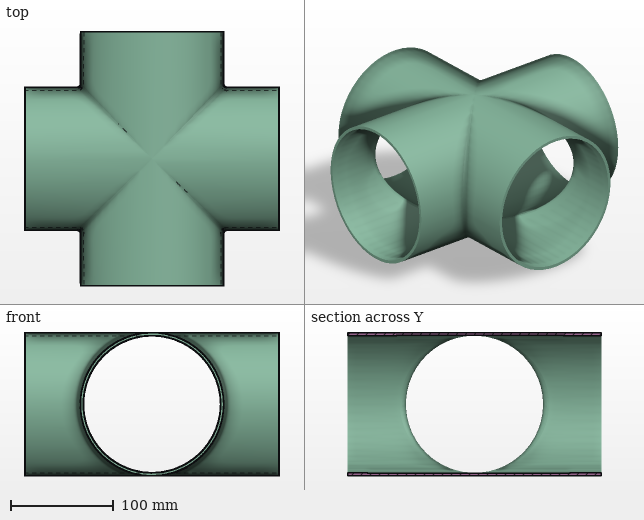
import cadquery as cq

overall_length = 248.0
outer_diameter = 139.5
bore_diameter = 133.7
wall_thickness = (outer_diameter - bore_diameter) / 2

outer_seam_radius = 3.0
bore_seam_radius = outer_seam_radius + wall_thickness


def filleted_cross(diameter, seam_radius):
    """Two equal cylinders along X and Y, merged, with their elliptical seams rounded."""
    half_length = overall_length / 2
    along_x = cq.Workplane("YZ").circle(diameter / 2).extrude(half_length, both=True)
    along_y = cq.Workplane("XZ").circle(diameter / 2).extrude(half_length, both=True)
    return along_x.union(along_y).edges("%ELLIPSE").fillet(seam_radius)


outer_body = filleted_cross(outer_diameter, outer_seam_radius)
crossed_bores = filleted_cross(bore_diameter, bore_seam_radius)

result = outer_body.cut(crossed_bores)